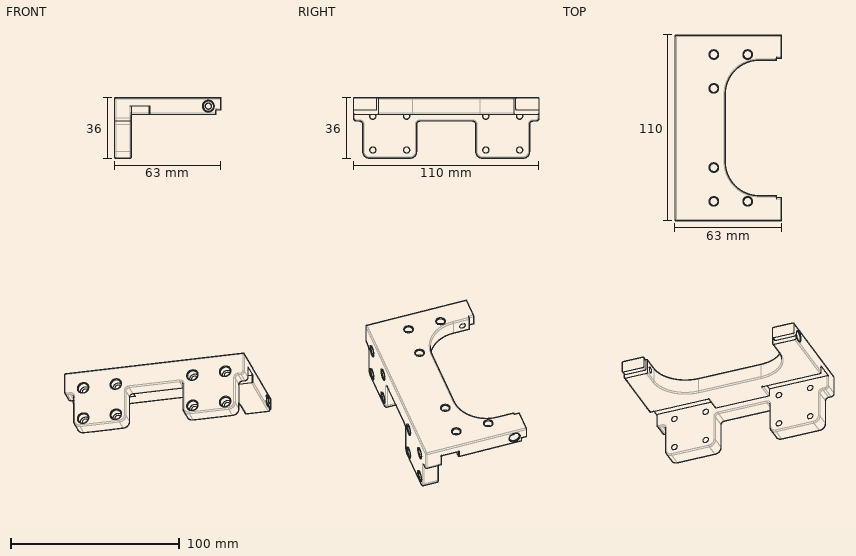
import cadquery as cq
LENGTH_X = 63.0
WIDTH_Y = 110.0
HEIGHT_Z = 36.0
HALF_WIDTH = WIDTH_Y / 2
EDGE = 0.8

PLATE_THICK = 10.0
OPENING_X = 29.8
ARM_WIDTH = 15.0
OPENING_RADIUS = 20.0
OPENING_HALF = HALF_WIDTH - ARM_WIDTH

TIP_START_X = 60.0
TIP_WIDTH = 13.9
TIP_THICK = 7.5

WALL_THICK = 10.0
WALL_DEPTH = 14.0
LEG_WIDTH = 32.0
LEG_CORNER_RADIUS = 4.0
WALL_CORNER_RADIUS = 2.0

POCKET_END_X = 21.0
POCKET_CEILING = 5.1
POCKET_EDGE = 0.4

PITCH = 20.0
HOLE_EDGE_Y = 11.5
HOLE_OUTER_Y = HALF_WIDTH - HOLE_EDGE_Y
LEG_CENTER_Y = HOLE_OUTER_Y - PITCH / 2
POCKET_INNER_Y = LEG_CENTER_Y - LEG_WIDTH / 2
SCREW_DIA = 3.5
HEAD_DIA = 6.0
HEAD_DEPTH = 5.0
INSERT_DIA = 4.7
INSERT_DEPTH = 4.4
HOLE_EDGE = 0.5
WALL_HOLE_TOP_Z = -11.0
INSERT_X = 23.0
ARM_HOLE_X = 55.5
ARM_HOLE_Z = -POCKET_CEILING


def block(x_min, x_max, y_min, y_max, z_min, z_max):
    """Box given by its limits along each axis."""
    box = cq.Workplane("XY").box(x_max - x_min, y_max - y_min, z_max - z_min, centered=False)
    return box.translate((x_min, y_min, z_min))


def round_hole(start, direction, diameter, depth, mouth_edge):
    """Cutter for a round hole whose mouth is chamfered."""
    plane = cq.Plane(origin=start, normal=direction)
    hole = cq.Workplane(plane).circle(diameter / 2).extrude(depth)
    mouth = cq.Workplane(plane).circle(diameter / 2 + mouth_edge)
    mouth = mouth.workplane(offset=mouth_edge).circle(diameter / 2).loft()
    return hole.union(mouth)


def head_hole(start, direction, depth):
    """Cutter for a through screw hole with a counterbore for the head."""
    head = round_hole(start, direction, HEAD_DIA, HEAD_DEPTH, HOLE_EDGE)
    plane = cq.Plane(origin=start, normal=direction)
    return head.union(cq.Workplane(plane).circle(SCREW_DIA / 2).extrude(depth))


def make_wall():
    """Back wall with rounded legs, its edges rounded on both faces."""
    wall = block(0, WALL_THICK, -HALF_WIDTH, HALF_WIDTH, -WALL_DEPTH, 0)
    for side in (-1, 1):
        center = side * LEG_CENTER_Y
        leg = block(0, WALL_THICK, center - LEG_WIDTH / 2, center + LEG_WIDTH / 2, -HEIGHT_Z, 0)
        wall = wall.union(leg.edges("|X and <Z").fillet(LEG_CORNER_RADIUS))
    shoulders = cq.selectors.BoxSelector(
        (-1.1, -HALF_WIDTH - 1.1, -WALL_DEPTH - 1.1), (WALL_THICK + 1.1, HALF_WIDTH + 1.1, -WALL_DEPTH + 1.1)
    )
    wall = wall.edges("|X").edges(shoulders).fillet(WALL_CORNER_RADIUS)
    wall = wall.faces(">X").edges("not >Z").fillet(EDGE)
    return wall.faces("<X").edges().add(wall.edges("|X and >Z")).fillet(EDGE)


def make_pocket(side):
    """Cutter that thins the plate behind one leg, flared where it meets the outer side."""
    outer_y = side * HALF_WIDTH
    inner_y = side * POCKET_INNER_Y
    flare_y = outer_y - side * POCKET_EDGE
    outline = [
        (0, inner_y),
        (POCKET_END_X - POCKET_EDGE, inner_y),
        (POCKET_END_X - POCKET_EDGE, flare_y),
        (POCKET_END_X, outer_y),
        (0, outer_y),
    ]
    pocket = cq.Workplane("XY").workplane(offset=-PLATE_THICK).polyline(outline).close()
    return pocket.extrude(PLATE_THICK - POCKET_CEILING)


def make_plate():
    """Plate with the rounded opening and pockets, its long edges rounded top and bottom."""
    plate = block(WALL_THICK / 2, TIP_START_X, -HALF_WIDTH, HALF_WIDTH, -PLATE_THICK, 0)
    opening = block(
        OPENING_X, LENGTH_X + OPENING_RADIUS, -OPENING_HALF, OPENING_HALF, -PLATE_THICK, 0
    )
    plate = plate.cut(opening.edges("|Z and <X").fillet(OPENING_RADIUS))
    plate = plate.faces("<Z or >Z").edges("not(<X or >X)").fillet(EDGE)
    for side in (-1, 1):
        plate = plate.cut(make_pocket(side))
        inner_edge = cq.selectors.NearestToPointSelector(
            (POCKET_END_X / 2, side * POCKET_INNER_Y, -PLATE_THICK)
        )
        plate = plate.edges("|X").edges(inner_edge).fillet(EDGE)
    return plate


def make_tip(side):
    """Thinner and narrower end of one arm, square at its far face."""
    outer_y = side * HALF_WIDTH
    inner_y = side * (HALF_WIDTH - TIP_WIDTH)
    tip = block(TIP_START_X, LENGTH_X, min(outer_y, inner_y), max(outer_y, inner_y), -TIP_THICK, 0)
    return tip.edges("|X").fillet(EDGE)


plate = make_plate()
for side in (-1, 1):
    plate = plate.union(make_tip(side))
body = make_wall().union(plate)

for side in (-1, 1):
    outer_y = side * HOLE_OUTER_Y
    inner_y = outer_y - side * PITCH

    for y in (outer_y, inner_y):
        for z in (WALL_HOLE_TOP_Z, WALL_HOLE_TOP_Z - PITCH):
            body = body.cut(head_hole((0, y, z), (1, 0, 0), WALL_THICK))

    for x, y in ((INSERT_X, outer_y), (INSERT_X, inner_y), (INSERT_X + PITCH, outer_y)):
        body = body.cut(round_hole((x, y, 0), (0, 0, -1), INSERT_DIA, INSERT_DEPTH, HOLE_EDGE))

    arm_hole_start = (ARM_HOLE_X, side * HALF_WIDTH, ARM_HOLE_Z)
    body = body.cut(head_hole(arm_hole_start, (0, -side, 0), ARM_WIDTH))

result = body